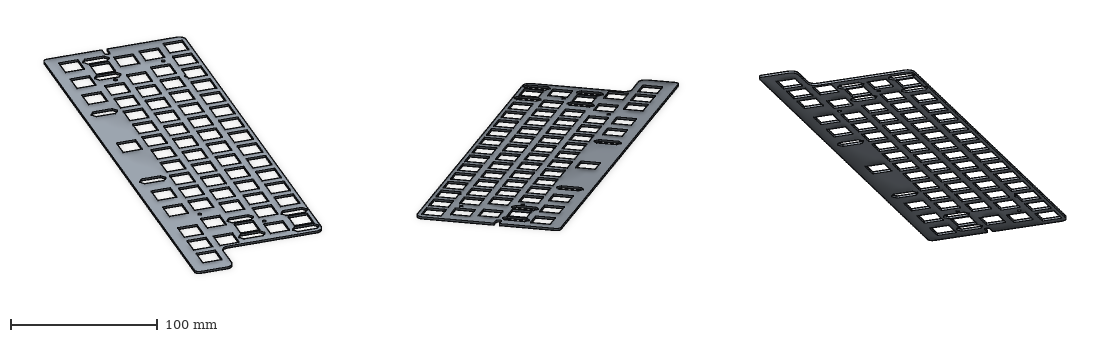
import cadquery as cq


plate_length = 316.0
plate_depth = 101.7
plate_thickness = 1.6
body_length = 288.5
tail_depth = 27.5
upper_radius = 5.0
lower_radius = 3.2

row_keys = 15
row_length = 285.5
key_pitch = row_length / row_keys
switch_size = 14.0
left_margin = 2.75
bottom_row_height = 15.8

stabilizer_width = 7.0
stabilizer_length = 19.0
stabilizer_straight_length = 14.0
stabilizer_tip_width = 0.5
stabilizer_drop = 0.5
short_stabilizer_spacing = 24.0
spacebar_stabilizer_spacing = 99.8

screw_hole_diameter = 2.5
screw_holes = [(28.5, 77.0), (42.5, 37.5), (53.5, 85.0), (239.8, 29.5), (263.5, 67.5)]
notch_width = 3.8
notch_depth = 7.3
notch_height = 44.5

switch_rows = [
    [0.625, 1.875, 3.125, 6.875, 10.625, 11.875, 13.5, 14.5, 15.5],
    [1.125] + [2.75 + key for key in range(10)] + [13.125, 14.5],
    [0.875] + [2.25 + key for key in range(11)] + [13.875],
    [0.75] + [2.0 + key for key in range(12)] + [14.25],
    [0.5 + key for key in range(13)] + [14.0],
]

stabilized_keys = [
    (0, 6.875, spacebar_stabilizer_spacing),
    (1, 1.125, short_stabilizer_spacing),
    (2, 13.875, short_stabilizer_spacing),
    (4, 14.0, short_stabilizer_spacing),
]


def key_center(row, units):
    return left_margin + units * key_pitch, bottom_row_height + row * key_pitch


def round_corner(body, x, y, radius):
    """Fillet the vertical edge standing at (x, y)."""
    corner = cq.selectors.NearestToPointSelector((x, y, plate_thickness / 2))
    return body.edges("|Z").edges(corner).fillet(radius)


def make_blank():
    tail = cq.Workplane("XY").box(plate_length, tail_depth, plate_thickness, centered=False)
    body = cq.Workplane("XY").box(body_length, plate_depth, plate_thickness, centered=False)
    blank = body.union(tail)
    corners = [
        (0, 0, lower_radius),
        (0, plate_depth, upper_radius),
        (body_length, plate_depth, upper_radius),
        (body_length, tail_depth, upper_radius),
        (plate_length, tail_depth, upper_radius),
        (plate_length, 0, lower_radius),
    ]
    for x, y, radius in corners:
        blank = round_corner(blank, x, y, radius)
    return blank


def make_switch_cutters():
    centers = [key_center(row, units) for row, keys in enumerate(switch_rows) for units in keys]
    return cq.Workplane("XY").pushPoints(centers).rect(switch_size, switch_size).extrude(plate_thickness)


def make_stabilizer_cutter(x, y):
    half_width = stabilizer_width / 2
    half_tip = stabilizer_tip_width / 2
    half_length = stabilizer_length / 2
    half_straight = stabilizer_straight_length / 2
    outline = [
        (-half_width, -half_straight),
        (-half_tip, -half_length),
        (half_tip, -half_length),
        (half_width, -half_straight),
        (half_width, half_straight),
        (half_tip, half_length),
        (-half_tip, half_length),
        (-half_width, half_straight),
    ]
    return cq.Workplane("XY").center(x, y).polyline(outline).close().extrude(plate_thickness)


def make_screw_hole_cutters():
    return cq.Workplane("XY").pushPoints(screw_holes).circle(screw_hole_diameter / 2).extrude(plate_thickness)


def make_notch_cutter():
    """Round-ended notch running in from the left side of the plate."""
    slot = cq.Workplane("XY").center(0, notch_height).slot2D(2 * notch_depth, notch_width)
    return slot.extrude(plate_thickness)


result = make_blank().cut(make_switch_cutters())
for row, units, spacing in stabilized_keys:
    key_x, key_y = key_center(row, units)
    for side in (-1, 1):
        result = result.cut(make_stabilizer_cutter(key_x + side * spacing / 2, key_y - stabilizer_drop))
result = result.cut(make_screw_hole_cutters()).cut(make_notch_cutter())